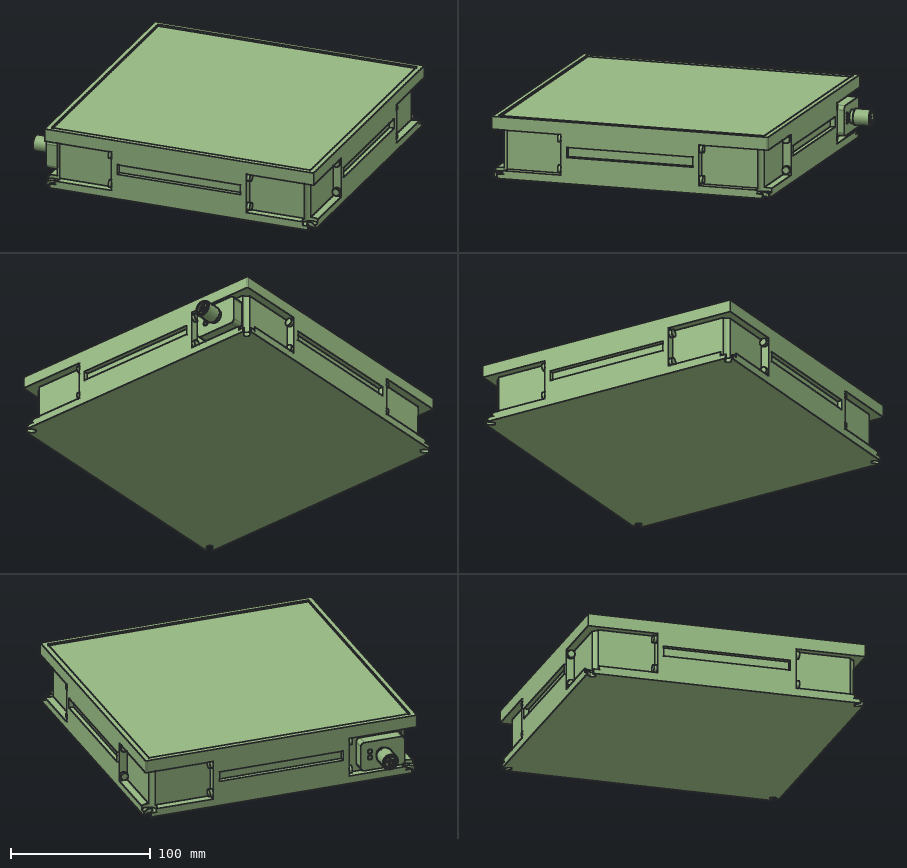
import cadquery as cq

side = 208.0
height = 45.5
half = side / 2
outer_edge_radius = 1.0

rim_width = 4.0
panel_depth = 1.4

side_slot_length = 94.9
side_slot_height = 7.5
side_slot_z = 23.0
side_slot_depth = 3.6

pocket_length = 52.0
pocket_depth = 6.0
pocket_floor = 6.0
pocket_ceiling = 36.0

head_diameter = 5.6
head_height = 2.5
lower_head_z = 10.0
upper_head_z = 32.5

foot_slot_width = 4.3
foot_slot_inset = 5.0
foot_seat_width = 11.3
foot_seat_z = 3.5
foot_seat_inset = 4.3
foot_chamfer = 4.3
foot_slot_angle = 45

plate_length = 33.9
plate_height = 22.4
plate_overhang = 2.7
plate_radius = 3.0
plate_edge_gap = 10.5
plate_z = 20.8
plate_y = -half + plate_edge_gap + plate_length / 2
plate_x = -half - plate_overhang

neck_diameter = 10.2
neck_length = 2.7
shell_diameter = 12.0
shell_length = 12.5
shell_chamfer = 0.5
socket_diameter = 8.5
socket_depth = 2.3
pin_diameter = 1.02
pin_length = 1.4
pin_offset = 2.5
key_width = 1.1
key_depth = 1.0
key_angle = 45

lamp_diameter = 3.5
lamp_depth = 0.7
lamp_offset = 9.7
lamp_spacing = 4.7
lamp_z_middle = 21.7


def box_between(low, high):
    """Box spanning two opposite corner points."""
    size = [b - a for a, b in zip(low, high)]
    return cq.Workplane("XY").box(*size, centered=False).translate(low)


def on_four_sides(shape):
    """The shape and its copies turned by quarter turns about the Z axis."""
    return [shape.rotate((0, 0, 0), (0, 0, 1), 90 * turn) for turn in range(4)]


def cylinder_along_x(x_start, y, z, diameter, length):
    """Cylinder running from x_start towards -X."""
    return cq.Workplane("YZ", origin=(x_start, y, z)).circle(diameter / 2).extrude(-length)


def make_housing():
    """Square block with two rounded edges and the panel recess in its top."""
    housing = cq.Workplane("XY").box(side, side, height, centered=(True, True, False))
    housing = housing.edges("|Z and <X").fillet(outer_edge_radius)
    panel_side = side - 2 * rim_width
    return housing.faces(">Z").workplane().rect(panel_side, panel_side).cutBlind(-panel_depth)


def make_side_slot():
    """Long slot in the -X side."""
    slot = cq.Workplane("XY").box(2 * side_slot_depth, side_slot_length, side_slot_height)
    return slot.translate((-half, 0, side_slot_z))


def make_corner_pocket():
    """L-shaped space around the corner, leaving a column inside it."""
    corner = (-half, -half, pocket_floor)
    pocket_end = -half + pocket_length
    block = box_between(corner, (pocket_end, pocket_end, pocket_ceiling))
    wall = -half + pocket_depth
    core = box_between((wall, wall, pocket_floor), (0, 0, pocket_ceiling))
    return block.cut(core)


def make_foot_slot(width, inset, z_low, z_high):
    """Diagonal slot open at the corner, with a round inner end."""
    inner_end = -half + inset
    depth = z_high - z_low
    mouth_length = 3 * inset
    slot = box_between((-mouth_length, -width / 2, z_low), (0, width / 2, z_high))
    round_end = cq.Workplane("XY", origin=(0, 0, z_low)).circle(width / 2).extrude(depth)
    slot = slot.union(round_end).rotate((0, 0, 0), (0, 0, 1), foot_slot_angle)
    return slot.translate((inner_end, inner_end, 0))


def make_foot_chamfer():
    """Triangular prism that blunts the tips on both sides of the foot slot."""
    corner = [(-half, -half), (-half + foot_chamfer, -half), (-half, -half + foot_chamfer)]
    return cq.Workplane("XY").polyline(corner).close().extrude(pocket_floor)


def make_screw_heads():
    """Screw heads at both ends of the pockets on the -X side."""
    heads = cq.Workplane("XY")
    wall = half - pocket_length
    for end in (-1, 1):
        for z in (lower_head_z, upper_head_z):
            centre = (-half + pocket_depth / 2, end * wall, z)
            head = cq.Workplane("XZ", origin=centre).circle(head_diameter / 2)
            heads = heads.add(head.extrude(-end * head_height))
    return heads.combine()


def make_plate():
    """Rounded plate on the pocket wall, with the two lamps."""
    plate_low = (plate_x, plate_y - plate_length / 2, plate_z - plate_height / 2)
    plate_high = (-half + pocket_depth, plate_y + plate_length / 2, plate_z + plate_height / 2)
    plate = box_between(plate_low, plate_high).edges("|X").fillet(plate_radius)
    for step in (-0.5, 0.5):
        lamp_z = lamp_z_middle + step * lamp_spacing
        lamp_x = plate_x + lamp_depth
        lamp_y = plate_y + lamp_offset
        plate = plate.cut(cylinder_along_x(lamp_x, lamp_y, lamp_z, lamp_diameter, lamp_depth))
    return plate


def make_connector():
    """Neck and shell standing on the plate, with pins and a key inside the socket."""
    shell_x = plate_x - neck_length
    socket_x = shell_x - shell_length + socket_depth
    neck = cylinder_along_x(plate_x, plate_y, plate_z, neck_diameter, neck_length)
    shell = cylinder_along_x(shell_x, plate_y, plate_z, shell_diameter, shell_length)
    shell = shell.faces("<X").chamfer(shell_chamfer)
    shell = shell.cut(cylinder_along_x(socket_x, plate_y, plate_z, socket_diameter, socket_depth))
    connector = neck.union(shell)
    for across, up in ((0, 0), (1, 0), (-1, 0), (0, 1), (0, -1)):
        pin_y = plate_y + across * pin_offset
        pin_z = plate_z + up * pin_offset
        connector = connector.union(cylinder_along_x(socket_x, pin_y, pin_z, pin_diameter, pin_length))
    key = cq.Workplane("XY").box(pin_length, 2 * key_depth, key_width)
    key = key.translate((socket_x - pin_length / 2, -socket_diameter / 2, 0))
    key = key.rotate((0, 0, 0), (1, 0, 0), key_angle)
    return connector.union(key.translate((0, plate_y, plate_z)))


result = make_housing()
for cutter in (
    make_side_slot(),
    make_corner_pocket(),
    make_foot_chamfer(),
    make_foot_slot(foot_slot_width, foot_slot_inset, 0, pocket_floor),
    make_foot_slot(foot_seat_width, foot_seat_inset, foot_seat_z, pocket_ceiling),
):
    for copy in on_four_sides(cutter):
        result = result.cut(copy)
for heads in on_four_sides(make_screw_heads()):
    result = result.union(heads)
result = result.union(make_plate()).union(make_connector())